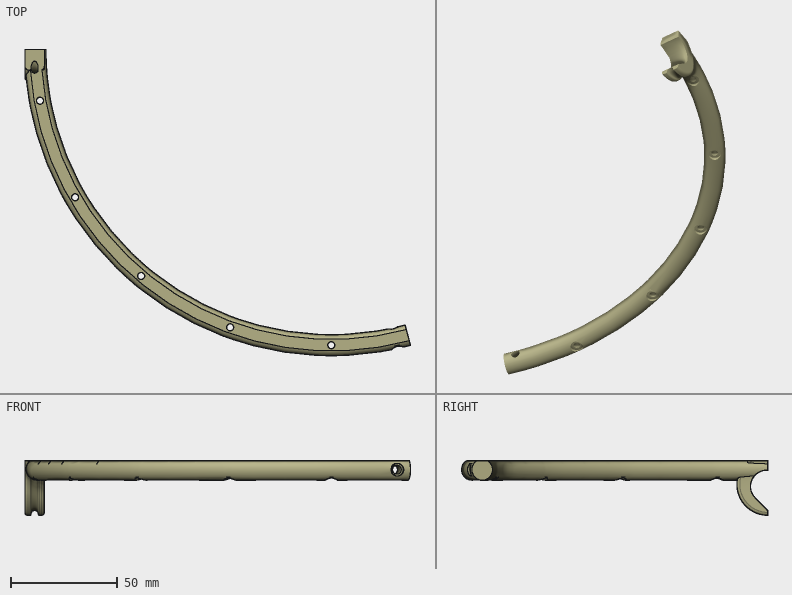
import cadquery as cq
import math

BAR_RADIUS = 5.0
FLAT_OFFSET = 4.2
RING_RADIUS = 144.46
START_ANGLE = 180.0
END_ANGLE = 285.0

HOOK_WIDTH = BAR_RADIUS + FLAT_OFFSET
HOOK_RADIUS = 14.7
TOTAL_HEIGHT = 25.78
MOUTH_RADIUS = 7.6
MOUTH_OFFSET = 0.6
MOUTH_ROOF = 4.5
GROOVE_PATH_RADIUS = 14.1
GROOVE_RADIUS = 1.7
LIP_FILLET = 0.6
RIM_FILLET = 1.4

PIN_HOLE_DIAMETER = 3.2
END_HOLE_DIAMETER = 4.2
HEAD_DIAMETER = 6.0
HEAD_DEPTH = 1.5
PIN_HOLE_ANGLES = [190, 210, 230, 250, 270]
END_HOLE_ANGLE = 282.5

OVERRUN = 1.0

axis_radius = RING_RADIUS - BAR_RADIUS
hook_center_z = FLAT_OFFSET - TOTAL_HEIGHT + HOOK_RADIUS
hook_center_x = -RING_RADIUS + HOOK_WIDTH / 2


def bar_point(angle):
    """Point of the bar's round outline, at an angle measured up from the outward direction."""
    turn = math.radians(angle)
    return (axis_radius + BAR_RADIUS * math.cos(turn), BAR_RADIUS * math.sin(turn))


def make_rail():
    """Ring segment of the bar, its outline split at mid-height into shoulders and a half-round."""
    flat_edge_angle = math.degrees(math.asin(FLAT_OFFSET / BAR_RADIUS))
    shoulder_middle = flat_edge_angle / 2
    profile = (
        cq.Workplane("XZ")
        .moveTo(*bar_point(flat_edge_angle))
        .threePointArc(bar_point(shoulder_middle), bar_point(0))
        .threePointArc(bar_point(-90), bar_point(180))
        .threePointArc(bar_point(180 - shoulder_middle), bar_point(180 - flat_edge_angle))
        .close()
    )
    rail = profile.revolve(END_ANGLE - START_ANGLE, (0, 0, 0), (0, 1, 0))
    return rail.rotate((0, 0, 0), (0, 0, 1), START_ANGLE)


def make_hook():
    """Disc with rounded rim and channel edges, trimmed level with the rail top and end face."""
    disc = (
        cq.Workplane("YZ")
        .circle(HOOK_RADIUS)
        .extrude(HOOK_WIDTH / 2, both=True)
        .edges()
        .fillet(RIM_FILLET)
        .translate((hook_center_x, 0, hook_center_z))
    )
    lip_half_width = GROOVE_RADIUS + LIP_FILLET
    lips = cq.selectors.BoxSelector(
        (hook_center_x - lip_half_width, -HOOK_RADIUS, hook_center_z - HOOK_RADIUS),
        (hook_center_x + lip_half_width, HOOK_RADIUS, hook_center_z + HOOK_RADIUS),
    )
    disc = disc.cut(make_groove()).edges(lips).fillet(LIP_FILLET)
    keep = (
        cq.Workplane("XY")
        .box(HOOK_WIDTH, HOOK_RADIUS, TOTAL_HEIGHT, centered=(True, False, False))
        .translate((hook_center_x, -HOOK_RADIUS, FLAT_OFFSET - TOTAL_HEIGHT))
    )
    return disc.intersect(keep)


def make_mouth():
    """Opening of the hook: a round pocket that flares out at 45 degrees below its axis."""
    center_y = -MOUTH_OFFSET
    center_z = FLAT_OFFSET - MOUTH_ROOF - MOUTH_RADIUS
    diagonal = MOUTH_RADIUS * math.sqrt(0.5)
    tangent_y = center_y - diagonal
    tangent_z = center_z - diagonal
    return (
        cq.Workplane("YZ")
        .moveTo(OVERRUN, center_z + MOUTH_RADIUS)
        .lineTo(center_y, center_z + MOUTH_RADIUS)
        .threePointArc((center_y - MOUTH_RADIUS, center_z), (tangent_y, tangent_z))
        .lineTo(OVERRUN, tangent_z - (OVERRUN - tangent_y))
        .close()
        .extrude(2 * BAR_RADIUS + 2 * OVERRUN)
        .translate((-RING_RADIUS - OVERRUN, 0, 0))
    )


def make_groove():
    """Round channel following the back of the hook and breaking out of the rail top."""
    center = cq.Vector(hook_center_x, 0, hook_center_z)
    torus = cq.Solid.makeTorus(GROOVE_PATH_RADIUS, GROOVE_RADIUS, center, cq.Vector(1, 0, 0))
    return cq.Workplane(torus)


def make_screw_hole(diameter):
    """Hole through the bar along Z, with its head recess in the underside."""
    length = 2 * (BAR_RADIUS + OVERRUN)
    bottom = -BAR_RADIUS - OVERRUN
    shank = cq.Workplane("XY").workplane(offset=bottom).circle(diameter / 2).extrude(length)
    head = cq.Workplane("XY").workplane(offset=bottom).circle(HEAD_DIAMETER / 2)
    return shank.union(head.extrude(OVERRUN + HEAD_DEPTH))


def place_on_rail(body, angle):
    """Move a body from the origin onto the rail axis at the given angle round the ring."""
    return body.translate((axis_radius, 0, 0)).rotate((0, 0, 0), (0, 0, 1), angle)


result = make_rail().union(make_hook()).cut(make_mouth()).cut(make_groove())

pin_hole = make_screw_hole(PIN_HOLE_DIAMETER)
for pin_hole_angle in PIN_HOLE_ANGLES:
    result = result.cut(place_on_rail(pin_hole, pin_hole_angle))

end_hole = make_screw_hole(END_HOLE_DIAMETER).rotate((0, 0, 0), (0, 1, 0), -90)
result = result.cut(place_on_rail(end_hole, END_HOLE_ANGLE))